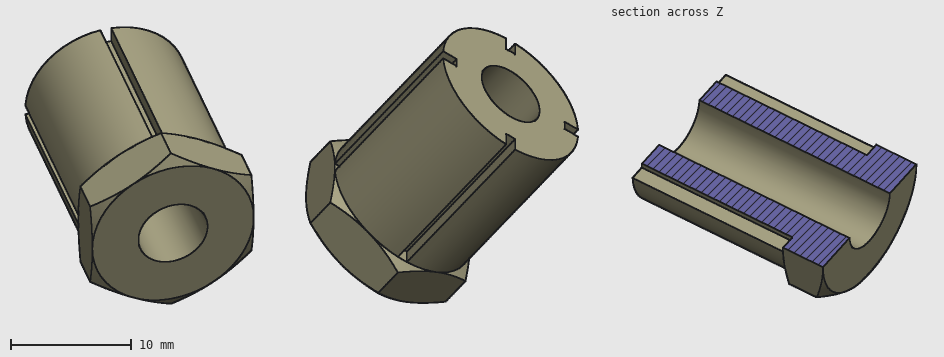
import cadquery as cq
import math

total_length = 19
head_length = 4.0
body_diameter = 14.0
bore_diameter = 6.0
slot_width = 0.93
slot_depth = 1.4
slot_count = 4
chamfer_angle = 30

body_length = total_length - head_length
body_radius = body_diameter / 2
corner_radius = body_radius / math.cos(math.pi / 6)
chamfer_length = (corner_radius - body_radius) * math.tan(math.radians(chamfer_angle))


def make_body():
    """Round shank from the origin to the head."""
    return cq.Workplane("YZ").circle(body_radius).extrude(body_length)


def cut_slots(body):
    """Cut equally spaced lengthwise grooves, ending at the head."""
    cutter = cq.Workplane("XY").box(
        body_length, slot_width, 2 * slot_depth, centered=(False, True, True)
    ).translate((0, 0, body_radius))
    for index in range(slot_count):
        angle = index * 360 / slot_count
        body = body.cut(cutter.rotate((0, 0, 0), (1, 0, 0), angle))
    return body


def make_head():
    """Hexagon with corners on the Z axis, chamfered conically at both ends."""
    hexagon = (
        cq.Workplane("YZ", origin=(body_length, 0, 0))
        .polygon(6, 2 * corner_radius)
        .extrude(head_length)
        .rotate((0, 0, 0), (1, 0, 0), 90)
    )
    envelope = (
        cq.Workplane("XY")
        .moveTo(body_length, 0)
        .lineTo(body_length, body_radius)
        .lineTo(body_length + chamfer_length, corner_radius)
        .lineTo(total_length - chamfer_length, corner_radius)
        .lineTo(total_length, body_radius)
        .lineTo(total_length, 0)
        .close()
        .revolve(360, (0, 0, 0), (1, 0, 0))
    )
    return hexagon.intersect(envelope)


bore = cq.Workplane("YZ").circle(bore_diameter / 2).extrude(total_length)
result = cut_slots(make_body()).union(make_head()).cut(bore)